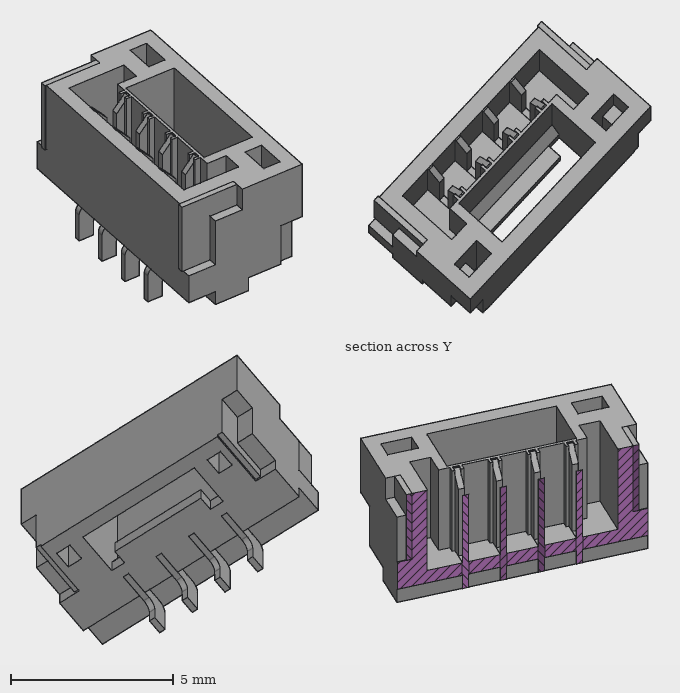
import cadquery as cq


WIDTH = 8.25
DEPTH = 4.25
HEIGHT = 4.05
HALF_WIDTH = WIDTH / 2
FRONT_WALL = 0.5
FRONT_STEP_DEPTH = 1.0
FRONT_STEP_HEIGHT = 0.5

CAVITY_HALF_WIDTH = 3.13
CAVITY_FLOOR = 1.0
CAVITY_ARM_BACK = 2.56
PARTITION_HALF_WIDTH = 2.44
PARTITION_FRONT = 1.85
PARTITION_THICKNESS = 0.1

WINDOW_HALF_WIDTH = 2.13
WINDOW_FRONT = PARTITION_FRONT + PARTITION_THICKNESS
REAR_WALL = 0.495
WINDOW_BACK = DEPTH - REAR_WALL
RAMP_RUN = 0.3
RAMP_RISE = 0.5
SILL_HALF_WIDTH = 1.64
SILL_DEPTH = 0.5
SILL_HEIGHT = 0.5

OPENING_WIDTH = 1.015
OPENING_DEPTH = 0.61
OPENING_OUTER_X = 3.64
OPENING_FLOOR = 2.51

SIDE_RECESS_DEPTH = 0.57
SIDE_RECESS_HEIGHT = 2.005
SIDE_RECESS_NARROW = 0.8
SIDE_RECESS_LONG = 2.005
SIDE_RECESS_STEP = 0.5
FOOT_NOTCH_DEPTH = 0.75
FOOT_NOTCH_HEIGHT = 0.1

PLATE_THICKNESS = 0.19
PLATE_INSET = 0.3
PLATE_TOP_LENGTH = 2.005
PLATE_LEG_LENGTH = 1.0
PLATE_TOP_HEIGHT = 0.8
PLATE_HEIGHT = 2.5
OVERHANG = 0.05

PIN_COUNT = 4
PIN_ROW_LENGTH = 3.745
PIN_PITCH = PIN_ROW_LENGTH / (PIN_COUNT - 1)
PIN_THICKNESS = 0.21
PIN_DROP = 0.8
PIN_TAIL_WIDTH = 0.54
PIN_BEND_RADIUS = 0.3
PIN_TIP_GAP = 0.025
PRONG_TIP = 0.05
PRONG_CHAMFER_RUN = 0.445
PRONG_CHAMFER_RISE = 0.495
RIB_WIDTH = 0.4
RIB_DEPTH = 0.2


def box(x0, x1, y0, y1, z0, z1):
    """Box between two opposite corners."""
    return cq.Workplane("XY").box(x1 - x0, y1 - y0, z1 - z0, centered=False).translate((x0, y0, z0))


def centred_box(half_width, y0, y1, z0, z1):
    """Box symmetric about X = 0."""
    return box(-half_width, half_width, y0, y1, z0, z1)


def side_profile(points, x0, x1):
    """Extrude a closed (Y, Z) outline from x0 to x1."""
    return cq.Workplane("YZ").polyline(points).close().extrude(x1 - x0).translate((x0, 0, 0))


def both_sides(shape):
    """A shape together with its mirror image across X = 0."""
    return shape.union(shape.mirror("YZ"))


def pin_positions():
    return [-PIN_ROW_LENGTH / 2 + index * PIN_PITCH for index in range(PIN_COUNT)]


def contact_cavity():
    """Open-topped cavity, with side arms around the partition and ribs left on it."""
    cavity = centred_box(CAVITY_HALF_WIDTH, FRONT_WALL, CAVITY_ARM_BACK, CAVITY_FLOOR, HEIGHT)
    cavity = cavity.cut(
        centred_box(PARTITION_HALF_WIDTH, PARTITION_FRONT, CAVITY_ARM_BACK, CAVITY_FLOOR, HEIGHT)
    )
    for x in pin_positions():
        rib = centred_box(RIB_WIDTH / 2, PARTITION_FRONT - RIB_DEPTH, PARTITION_FRONT, CAVITY_FLOOR, HEIGHT)
        cavity = cavity.cut(rib.translate((x, 0, 0)))
    return cavity


def latch_window():
    """Through window that narrows over a ramp, with a sill left at the bottom of its front side."""
    ramp_foot = WINDOW_FRONT + RAMP_RUN
    ramp_top = SILL_HEIGHT + RAMP_RISE
    outline = [
        (WINDOW_FRONT, HEIGHT),
        (WINDOW_FRONT, ramp_top),
        (ramp_foot, SILL_HEIGHT),
        (ramp_foot, 0),
        (WINDOW_BACK, 0),
        (WINDOW_BACK, HEIGHT),
    ]
    window = side_profile(outline, -WINDOW_HALF_WIDTH, WINDOW_HALF_WIDTH)
    return window.cut(centred_box(SILL_HALF_WIDTH, ramp_foot, ramp_foot + SILL_DEPTH, 0, SILL_HEIGHT))


def corner_opening():
    """Square opening at +X: blind outer half, inner half right through."""
    inner_x = OPENING_OUTER_X - OPENING_WIDTH
    middle_x = OPENING_OUTER_X - OPENING_WIDTH / 2
    front_y = WINDOW_BACK - OPENING_DEPTH
    blind = box(middle_x, OPENING_OUTER_X, front_y, WINDOW_BACK, OPENING_FLOOR, HEIGHT)
    return blind.union(box(inner_x, middle_x, front_y, WINDOW_BACK, 0, HEIGHT))


def side_recess():
    """L-shaped recess at +X, low at the rear, with a deeper notch along the underside."""
    narrow_y = DEPTH - SIDE_RECESS_NARROW
    long_y = DEPTH - SIDE_RECESS_LONG
    outline = [
        (DEPTH, 0),
        (DEPTH, SIDE_RECESS_HEIGHT),
        (narrow_y, SIDE_RECESS_HEIGHT),
        (narrow_y, SIDE_RECESS_STEP),
        (long_y, SIDE_RECESS_STEP),
        (long_y, 0),
    ]
    recess = side_profile(outline, HALF_WIDTH - SIDE_RECESS_DEPTH, HALF_WIDTH)
    notch = box(HALF_WIDTH - FOOT_NOTCH_DEPTH, HALF_WIDTH, long_y, DEPTH, 0, FOOT_NOTCH_HEIGHT)
    return recess.union(notch)


def plate_shape(x0, x1):
    """L-shaped plate outline, flush with the housing top, between two X positions."""
    step_z = HEIGHT - PLATE_TOP_HEIGHT
    bottom_z = HEIGHT - PLATE_HEIGHT
    outline = [
        (-OVERHANG, HEIGHT),
        (PLATE_TOP_LENGTH, HEIGHT),
        (PLATE_TOP_LENGTH, step_z),
        (PLATE_LEG_LENGTH, step_z),
        (PLATE_LEG_LENGTH, bottom_z),
        (-OVERHANG, bottom_z),
    ]
    return side_profile(outline, x0, x1)


def make_plate():
    """Side plate at +X."""
    outer_x = HALF_WIDTH - PLATE_INSET
    return plate_shape(outer_x - PLATE_THICKNESS, outer_x)


def make_pin(x):
    """Flat fork contact: two chamfered prongs on a base, and a leg bent down at the front."""
    tip_z = HEIGHT - PIN_TIP_GAP
    chamfer_z = tip_z - PRONG_CHAMFER_RISE
    prong_width = PRONG_TIP + PRONG_CHAMFER_RUN
    tail_front = -OVERHANG
    tail_back = tail_front + PIN_TAIL_WIDTH
    outer_bend = (tail_front + PIN_BEND_RADIUS, FRONT_STEP_HEIGHT - PIN_BEND_RADIUS)
    inner_bend = (tail_back + PIN_BEND_RADIUS, -PIN_BEND_RADIUS)
    arc_offset = PIN_BEND_RADIUS * 0.5 ** 0.5
    profile = (
        cq.Workplane("YZ")
        .moveTo(tail_front, -PIN_DROP)
        .lineTo(tail_front, outer_bend[1])
        .threePointArc(
            (outer_bend[0] - arc_offset, outer_bend[1] + arc_offset),
            (outer_bend[0], FRONT_STEP_HEIGHT),
        )
        .lineTo(FRONT_WALL, FRONT_STEP_HEIGHT)
        .lineTo(FRONT_WALL, tip_z)
        .lineTo(FRONT_WALL + PRONG_TIP, tip_z)
        .lineTo(FRONT_WALL + prong_width, chamfer_z)
        .lineTo(FRONT_WALL + prong_width, CAVITY_FLOOR)
        .lineTo(PARTITION_FRONT - prong_width, CAVITY_FLOOR)
        .lineTo(PARTITION_FRONT - prong_width, chamfer_z)
        .lineTo(PARTITION_FRONT - PRONG_TIP, tip_z)
        .lineTo(PARTITION_FRONT, tip_z)
        .lineTo(PARTITION_FRONT, 0)
        .lineTo(inner_bend[0], 0)
        .threePointArc(
            (inner_bend[0] - arc_offset, inner_bend[1] + arc_offset),
            (tail_back, inner_bend[1]),
        )
        .lineTo(tail_back, -PIN_DROP)
        .close()
    )
    return profile.extrude(PIN_THICKNESS / 2, both=True).translate((x, 0, 0))


def pin_slot(x):
    """Slot through the floor and rib for one pin, open up to the housing top."""
    base = box(-PIN_THICKNESS / 2, PIN_THICKNESS / 2, FRONT_WALL, PARTITION_FRONT, 0, HEIGHT)
    return base.translate((x, 0, 0))


def make_housing():
    plate_pocket = plate_shape(HALF_WIDTH - PLATE_INSET - PLATE_THICKNESS, HALF_WIDTH)
    housing = centred_box(HALF_WIDTH, 0, DEPTH, 0, HEIGHT)
    housing = housing.cut(centred_box(HALF_WIDTH, 0, FRONT_STEP_DEPTH, 0, FRONT_STEP_HEIGHT))
    housing = housing.cut(contact_cavity())
    housing = housing.cut(latch_window())
    for feature in (corner_opening(), side_recess(), plate_pocket):
        housing = housing.cut(both_sides(feature))
    for x in pin_positions():
        housing = housing.cut(pin_slot(x))
    return housing


housing = make_housing()
right_plate = make_plate()
left_plate = right_plate.mirror("YZ")
pins = [make_pin(x) for x in pin_positions()]

result = cq.Compound.makeCompound(
    [housing.val(), left_plate.val(), right_plate.val(), *[pin.val() for pin in pins]]
)